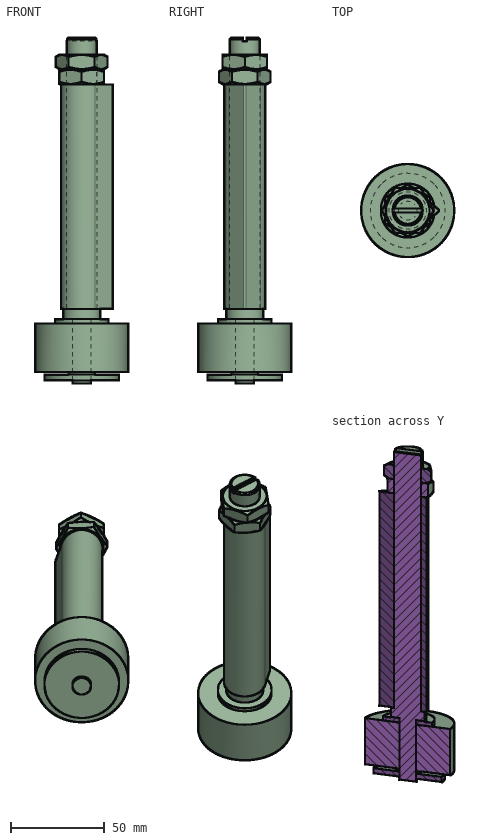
import cadquery as cq
import math

total_height = 185.0
washer_bottom = 1.7
washer_top = 4.8
roller_bottom = 6.1
roller_top = 32.2
flange_top = 34.5
sleeve_bottom = 40.0
sleeve_top = 160.0
nut_height = 8.0

pin_diameter = 10.0
neck_diameter = 20.0
thread_diameter = 16.1
end_chamfer = 1.0
slot_width = 2.0
slot_depth = 1.8

washer_diameter = 40.0
spacer_diameter = 14.2
roller_diameter = 50.0
flange_diameter = 28.9

sleeve_diameter = 22.2
fin_reach = 16.6
fin_tangent_angle = math.radians(49.5)

nut_across_flats = 24.0
nut_face_diameter = 23.3
nut_chamfer_angle = math.radians(30)


def cylinder(diameter, bottom, top):
    return cq.Workplane("XY").workplane(offset=bottom).circle(diameter / 2).extrude(top - bottom)


def ring(outer_diameter, bore_diameter, bottom, top):
    return cylinder(outer_diameter, bottom, top).cut(cylinder(bore_diameter, bottom, top))


def make_stud():
    """Pin, wider neck and threaded shank in one piece, with a screwdriver slot on top."""
    pin = cylinder(pin_diameter, 0, flange_top)
    neck = cylinder(neck_diameter, flange_top, sleeve_bottom)
    shank = cylinder(thread_diameter, sleeve_bottom, total_height).faces(">Z").chamfer(end_chamfer)
    slot = cq.Workplane("XY").box(
        thread_diameter, slot_width, slot_depth, centered=(True, True, False)
    ).translate((0, 0, total_height - slot_depth))
    return pin.union(neck).union(shank).cut(slot)


def make_sleeve():
    """Tube whose +X side runs out tangentially into a fin with a rounded tip."""
    radius = sleeve_diameter / 2
    cosine = math.cos(fin_tangent_angle)
    sine = math.sin(fin_tangent_angle)
    tip_radius = (radius - fin_reach * cosine) / (1 - cosine)
    tip_center = fin_reach - tip_radius
    tip_x = tip_center + tip_radius * cosine
    tip_y = tip_radius * sine
    root_x = radius * cosine
    root_y = radius * sine
    profile = (
        cq.Workplane("XY").workplane(offset=sleeve_bottom)
        .moveTo(root_x, -root_y)
        .lineTo(tip_x, -tip_y)
        .threePointArc((fin_reach, 0), (tip_x, tip_y))
        .lineTo(root_x, root_y)
        .threePointArc((-radius, 0), (root_x, -root_y))
        .close()
    )
    body = profile.extrude(sleeve_top - sleeve_bottom)
    return body.cut(cylinder(thread_diameter, sleeve_bottom, sleeve_top))


def make_nut(bottom, turn):
    """Hexagon nut, chamfered on both faces, turned about Z by the given degrees."""
    across_corners = nut_across_flats / math.cos(math.pi / 6)
    corner_radius = across_corners / 2
    face_radius = nut_face_diameter / 2
    corner_drop = (corner_radius - face_radius) * math.tan(nut_chamfer_angle)
    hexagon = cq.Workplane("XY").polygon(6, across_corners).extrude(nut_height)
    chamfer_envelope = (
        cq.Workplane("XZ")
        .moveTo(0, 0)
        .lineTo(face_radius, 0)
        .lineTo(corner_radius, corner_drop)
        .lineTo(corner_radius, nut_height - corner_drop)
        .lineTo(face_radius, nut_height)
        .lineTo(0, nut_height)
        .close()
        .revolve(360, (0, 0, 0), (0, 1, 0))
    )
    nut = hexagon.intersect(chamfer_envelope).cut(cylinder(thread_diameter, 0, nut_height))
    return nut.rotate((0, 0, 0), (0, 0, 1), turn).translate((0, 0, bottom))


stud = make_stud()
washer = ring(washer_diameter, pin_diameter, washer_bottom, washer_top)
spacer = ring(spacer_diameter, pin_diameter, washer_top, roller_bottom)
roller = ring(roller_diameter, pin_diameter, roller_bottom, roller_top)
flange = ring(flange_diameter, pin_diameter, roller_top, flange_top)
sleeve = make_sleeve()

nuts = []
for level, turn in enumerate((30, 0)):
    nuts.append(make_nut(sleeve_top + level * nut_height, turn))

result = cq.Compound.makeCompound(
    [
        stud.val(),
        washer.val(),
        spacer.val(),
        roller.val(),
        flange.val(),
        sleeve.val(),
        *[nut.val() for nut in nuts],
    ]
)